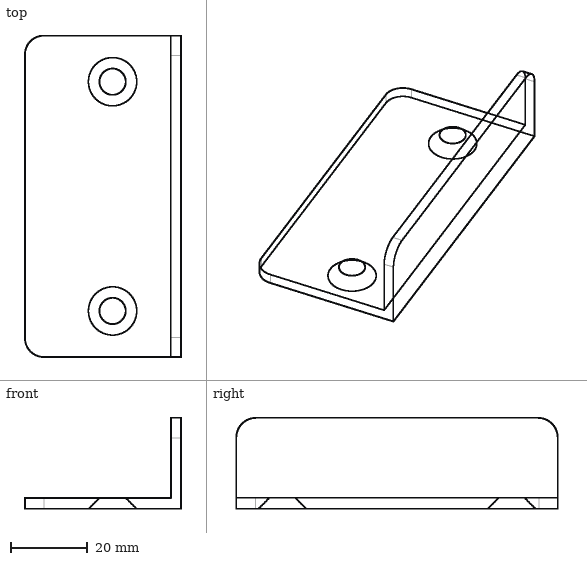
import cadquery as cq
import math

depth = 40.8
length = 83.9
height = 23.8
base_thickness = 2.9
wall_thickness = 2.7

base_corner_radius = 5.0
wall_corner_radius = 5.2

hole_diameter = 6.8
countersink_angle = 90
hole_spacing = 59.8
hole_to_wall_back = 17.9


def make_base():
    """Flat leg, rounded at the two free corners."""
    base = cq.Workplane("XY").box(depth, length, base_thickness, centered=(False, True, False))
    return base.edges("|Z and <X").fillet(base_corner_radius)


def make_wall():
    """Upright leg along the +X side, rounded at the two top corners."""
    wall = cq.Workplane("XY").box(wall_thickness, length, height, centered=(False, True, False))
    wall = wall.edges("|X and >Z").fillet(wall_corner_radius)
    return wall.translate((depth - wall_thickness, 0, 0))


def make_holes():
    """Pair of conical cutters, widening downward through the full base thickness."""
    hole_x = depth - hole_to_wall_back
    top_radius = hole_diameter / 2
    bottom_radius = top_radius + base_thickness * math.tan(math.radians(countersink_angle / 2))
    cone = cq.Solid.makeCone(bottom_radius, top_radius, base_thickness)
    holes = cq.Workplane("XY")
    for side in (-1, 1):
        holes = holes.add(cone.translate(cq.Vector(hole_x, side * hole_spacing / 2, 0)))
    return holes.combine()


result = make_base().union(make_wall()).cut(make_holes())